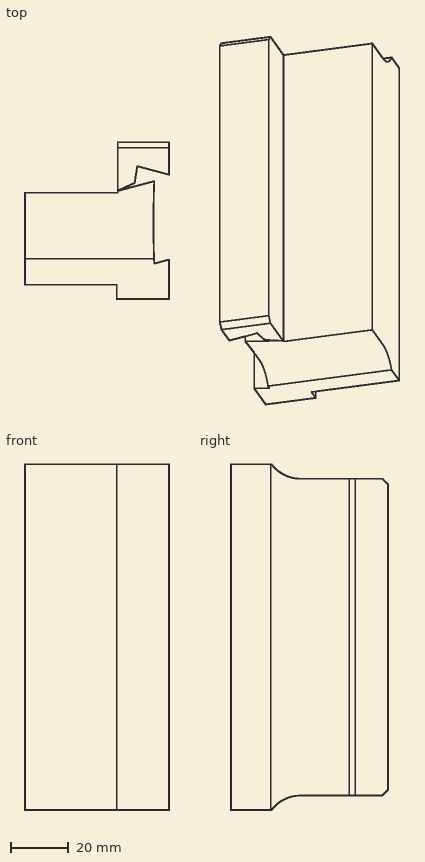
import cadquery as cq
import math

body_height = 120.0
end_step = 5.0
width = 50.0
depth = 54.5
jaw_height = body_height - 2 * end_step

foot_start_x = 31.8
front_face_y = 5.0
back_face_y = 37.0
hollow_edge_x = 44.9
hollow_depth = 0.28
hollow_front_y = 12.4
dovetail_slope = math.tan(math.radians(15))

jaw_start_x = 32.2
jaw_heel_y = 37.6
jaw_toe = (38.1, 40.3)
jaw_root = (39.0, 46.1)
jaw_chamfer = 2.0

scoop_start_y = 14.1
scoop_length = 10.0
scoop_end_y = scoop_start_y + scoop_length
scoop_radius = (scoop_length**2 + end_step**2) / (2 * end_step)


def make_body():
    """Profiled bar with a sloping back shoulder and scooped ends."""
    lip_y = hollow_front_y + (width - hollow_edge_x) * dovetail_slope
    shoulder_y = jaw_heel_y + (hollow_edge_x - jaw_start_x) * dovetail_slope
    hollow_middle = (hollow_edge_x - hollow_depth, (hollow_front_y + shoulder_y) / 2)
    bar = (
        cq.Workplane("XY")
        .moveTo(0, front_face_y)
        .lineTo(foot_start_x, front_face_y)
        .lineTo(foot_start_x, 0)
        .lineTo(width, 0)
        .lineTo(width, lip_y)
        .lineTo(hollow_edge_x, hollow_front_y)
        .threePointArc(hollow_middle, (hollow_edge_x, shoulder_y))
        .lineTo(jaw_start_x, jaw_heel_y)
        .lineTo(jaw_start_x, back_face_y)
        .lineTo(0, back_face_y)
        .close()
        .extrude(body_height)
    )
    bottom_cut = make_end_cut()
    top_cut = bottom_cut.mirror("XY", (0, 0, body_height / 2))
    return bar.cut(bottom_cut).cut(top_cut)


def make_end_cut():
    """Material removed at the bottom end: a flat step run out by a tangent arc."""
    half_angle = math.asin(scoop_length / scoop_radius) / 2
    scoop_middle = (
        scoop_end_y - scoop_radius * math.sin(half_angle),
        end_step - scoop_radius * (1 - math.cos(half_angle)),
    )
    return (
        cq.Workplane("YZ")
        .moveTo(scoop_start_y, 0)
        .threePointArc(scoop_middle, (scoop_end_y, end_step))
        .lineTo(depth, end_step)
        .lineTo(depth, 0)
        .close()
        .extrude(width)
    )


def make_jaw():
    """Hooked clamping jaw behind the body, chamfered along both outer end edges."""
    jaw_tip_y = jaw_root[1] - (width - jaw_root[0]) * dovetail_slope
    jaw = (
        cq.Workplane("XY", origin=(0, 0, end_step))
        .moveTo(jaw_start_x, jaw_heel_y)
        .lineTo(*jaw_toe)
        .lineTo(*jaw_root)
        .lineTo(width, jaw_tip_y)
        .lineTo(width, depth)
        .lineTo(jaw_start_x, depth)
        .close()
        .extrude(jaw_height)
    )
    return jaw.faces(">Y").edges("|X").chamfer(jaw_chamfer)


body = make_body()
jaw = make_jaw()

result = cq.Compound.makeCompound([body.val(), jaw.val()])